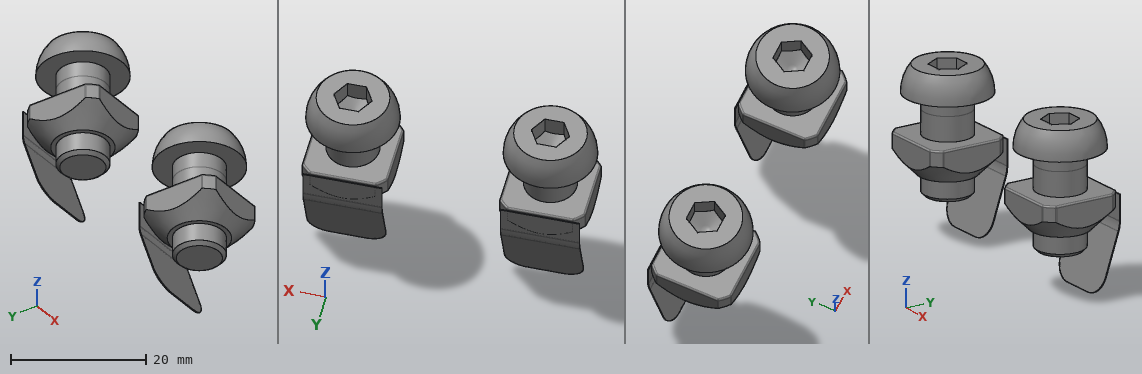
import cadquery as cq
import math

OVERALL_LENGTH = 44.0
OVERALL_HEIGHT = 26.95

HEAD_DIAMETER = 14.0
HEAD_HEIGHT = 4.4
SHANK_DIAMETER = 8.0
SHANK_LENGTH = 16.0
PLAIN_SHANK_LENGTH = 2.5
TIP_DIAMETER = 6.8
SOCKET_WIDTH = 5.0
SOCKET_DEPTH = 2.65
SOCKET_POINT_ANGLE = 120.0

NUT_WIDTH = 13.02
NUT_HEIGHT = 6.0
NUT_TOP = -6.5
NUT_CORNER_RADIUS = 8.25
NUT_EDGE_FILLET = 0.25
NUT_BOTTOM_RADIUS = 4.75

LEAF_WIDTH = 12.0
LEAF_THICKNESS = 0.18
LEAF_TOP_DROP = 0.45
LEAF_STRAIGHT_LENGTH = 4.2
LEAF_BEND_RADIUS = 5.0
LEAF_ANGLE = 18.3
LEAF_CORNER_RADIUS = 3.3

SET_SPACING = OVERALL_LENGTH - HEAD_DIAMETER
SET_POSITIONS = (-SET_SPACING / 2, SET_SPACING / 2)
NUT_BOTTOM = NUT_TOP - NUT_HEIGHT
LEAF_TOP = NUT_TOP - LEAF_TOP_DROP
LEAF_BOTTOM = HEAD_HEIGHT - OVERALL_HEIGHT


def socket_cutter():
    """Hexagonal key socket whose floor is a shallow drill-point cone."""
    corner_radius = SOCKET_WIDTH / math.sqrt(3)
    point_depth = corner_radius / math.tan(math.radians(SOCKET_POINT_ANGLE / 2))
    hexagon = (
        cq.Workplane("XY", origin=(0, 0, HEAD_HEIGHT))
        .polygon(6, 2 * corner_radius)
        .extrude(-SOCKET_DEPTH - point_depth)
    )
    drilled = (
        cq.Workplane("XZ")
        .moveTo(0, HEAD_HEIGHT)
        .lineTo(corner_radius, HEAD_HEIGHT)
        .lineTo(corner_radius, HEAD_HEIGHT - SOCKET_DEPTH)
        .lineTo(0, HEAD_HEIGHT - SOCKET_DEPTH - point_depth)
        .close()
        .revolve(360, (0, 0, 0), (0, 1, 0))
    )
    return hexagon.intersect(drilled)


def make_screw():
    """Screw with a spherical button head, plain neck, threaded length and chamfered tip."""
    head_radius = HEAD_DIAMETER / 2
    shank_radius = SHANK_DIAMETER / 2
    tip_radius = TIP_DIAMETER / 2
    tip_chamfer = shank_radius - tip_radius

    head_top_radius = math.sqrt(head_radius**2 - HEAD_HEIGHT**2)
    middle_angle = math.asin(HEAD_HEIGHT / head_radius) / 2
    dome_middle = (head_radius * math.cos(middle_angle), head_radius * math.sin(middle_angle))

    turned = (
        cq.Workplane("XZ")
        .moveTo(0, -SHANK_LENGTH)
        .lineTo(tip_radius, -SHANK_LENGTH)
        .lineTo(shank_radius, -SHANK_LENGTH + tip_chamfer)
        .lineTo(shank_radius, -PLAIN_SHANK_LENGTH)
        .lineTo(shank_radius, 0)
        .lineTo(head_radius, 0)
        .threePointArc(dome_middle, (head_top_radius, HEAD_HEIGHT))
        .lineTo(0, HEAD_HEIGHT)
        .close()
        .revolve(360, (0, 0, 0), (0, 1, 0), clean=False)
    )
    return turned.cut(socket_cutter(), clean=False)


def make_nut():
    """Square nut with turned corners, rounded edges and a 45 degree conical underside."""
    base = cq.Workplane("XY", origin=(0, 0, NUT_BOTTOM))
    square = base.rect(NUT_WIDTH, NUT_WIDTH).extrude(NUT_HEIGHT)
    corner_cylinder = base.circle(NUT_CORNER_RADIUS).extrude(NUT_HEIGHT)
    body = square.intersect(corner_cylinder)
    body = body.edges("|Z").fillet(NUT_EDGE_FILLET)
    body = body.faces(">Z").edges().fillet(NUT_EDGE_FILLET)

    cone = (
        cq.Workplane("XZ")
        .moveTo(0, NUT_BOTTOM)
        .lineTo(NUT_BOTTOM_RADIUS, NUT_BOTTOM)
        .lineTo(NUT_BOTTOM_RADIUS + NUT_HEIGHT, NUT_TOP)
        .lineTo(0, NUT_TOP)
        .close()
        .revolve(360, (0, 0, 0), (0, 1, 0))
    )
    bore = base.circle(SHANK_DIAMETER / 2).extrude(NUT_HEIGHT)
    return body.intersect(cone).cut(bore)


def make_leaf():
    """Thin leaf: straight against the nut, then bent inward below it, with rounded lower corners."""
    angle = math.radians(LEAF_ANGLE)
    inner_y = NUT_WIDTH / 2
    outer_y = inner_y + LEAF_THICKNESS
    bend_start = LEAF_TOP - LEAF_STRAIGHT_LENGTH
    bend_centre_y = outer_y - LEAF_BEND_RADIUS
    inner_radius = LEAF_BEND_RADIUS - LEAF_THICKNESS

    def on_bend(radius, turn):
        return (bend_centre_y + radius * math.cos(turn), bend_start - radius * math.sin(turn))

    outer_bend_end = on_bend(LEAF_BEND_RADIUS, angle)
    inner_bend_end = on_bend(inner_radius, angle)
    slope_length = (outer_bend_end[1] - LEAF_BOTTOM) / math.cos(angle)
    run_y = -slope_length * math.sin(angle)
    run_z = -slope_length * math.cos(angle)

    strip = (
        cq.Workplane("YZ")
        .moveTo(inner_y, LEAF_TOP)
        .lineTo(outer_y, LEAF_TOP)
        .lineTo(outer_y, bend_start)
        .threePointArc(on_bend(LEAF_BEND_RADIUS, angle / 2), outer_bend_end)
        .line(run_y, run_z)
        .lineTo(inner_bend_end[0] + run_y, inner_bend_end[1] + run_z)
        .lineTo(*inner_bend_end)
        .threePointArc(on_bend(inner_radius, angle / 2), (inner_y, bend_start))
        .close()
        .extrude(LEAF_WIDTH / 2, both=True)
    )
    end_edges = cq.selectors.BoxSelector(
        (-LEAF_WIDTH, -NUT_WIDTH, LEAF_BOTTOM - LEAF_THICKNESS),
        (LEAF_WIDTH, NUT_WIDTH, LEAF_BOTTOM + LEAF_THICKNESS),
    )
    return strip.edges("#X").edges(end_edges).fillet(LEAF_CORNER_RADIUS)


screws = [make_screw().translate((x, 0, 0)) for x in SET_POSITIONS]
nuts = [make_nut().translate((x, 0, 0)) for x in SET_POSITIONS]
leaves = [make_leaf().translate((x, 0, 0)) for x in SET_POSITIONS]

result = cq.Compound.makeCompound([body.val() for body in screws + nuts + leaves])